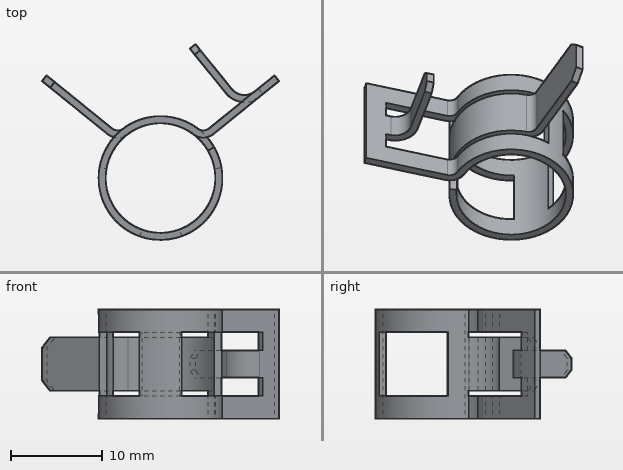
import cadquery as cq
import math


thickness = 0.8
band_width = 12.0
slot_width = 7.0
tongue_width = 5.9
hook_width = 3.0

inner_radius = 6.0
outer_radius = inner_radius + thickness
bend_start = 53.0
band_end = 390.0
slot_end = 150.0
side_windows = [(170.0, 250.0), (290.0, 370.0)]

arm_angle = 39.0
arm_bend_radius = 1.0
arm_tip_x = 13.0
slot_tip_x = 11.23
tongue_chamfer = 1.16

hook_bend_radius = 1.8
hook_bend_angle = 90.0
hook_root_length = 0.5
hook_tip_y = 14.69
hook_chamfer = 0.85


def polar(center, radius, angle):
    """Point at a radius and an angle in degrees around a center."""
    turn = math.radians(angle)
    return (center[0] + radius * math.cos(turn), center[1] + radius * math.sin(turn))


def arc_to(sketch, center, radius, start, end):
    """Extend a sketch along an arc around center, from a start to an end angle."""
    middle = (start + end) / 2
    return sketch.threePointArc(polar(center, radius, middle), polar(center, radius, end))


def extrude_centered(sketch, width):
    """Close an outline and give it a width centered on Z = 0."""
    return sketch.close().extrude(width / 2, both=True)


origin = (0.0, 0.0)
arm_bend_center = polar(origin, outer_radius + arm_bend_radius, bend_start)
arm_bend_outer = arm_bend_radius + thickness
arm_normal = arm_angle - 90.0
arm_lower_start = polar(arm_bend_center, arm_bend_outer, arm_normal)


def arm_length_to(x):
    """Straight arm length at which the lower arm face reaches x."""
    return (x - arm_lower_start[0]) / math.cos(math.radians(arm_angle))


def bent_strip(ring_end, arm_length, width):
    """Straight arm, reverse bend and ring stretch as one bent strip."""
    bend_meets_ring = bend_start - 180.0
    upper_start = polar(arm_bend_center, arm_bend_radius, arm_normal)
    sketch = cq.Workplane("XY").moveTo(*polar(origin, outer_radius, ring_end))
    sketch = arc_to(sketch, origin, outer_radius, ring_end, bend_start)
    sketch = arc_to(sketch, arm_bend_center, arm_bend_radius, bend_meets_ring, arm_normal)
    sketch = sketch.lineTo(*polar(upper_start, arm_length, arm_angle))
    sketch = sketch.lineTo(*polar(arm_lower_start, arm_length, arm_angle))
    sketch = sketch.lineTo(*arm_lower_start)
    sketch = arc_to(sketch, arm_bend_center, arm_bend_outer, arm_normal, bend_meets_ring)
    sketch = arc_to(sketch, origin, inner_radius, bend_start, ring_end)
    return extrude_centered(sketch, width)


def ring_window(start, end):
    """Cutter for a window in the ring with radial end faces."""
    sketch = cq.Workplane("XY").moveTo(*polar(origin, inner_radius, start))
    sketch = sketch.lineTo(*polar(origin, outer_radius, start))
    sketch = arc_to(sketch, origin, outer_radius, start, end)
    sketch = sketch.lineTo(*polar(origin, inner_radius, end))
    sketch = arc_to(sketch, origin, inner_radius, end, start)
    return extrude_centered(sketch, slot_width)


def tip_corners(tip, direction, size, width):
    """Cutters for the two 45 degree corners at the free end of a leaf."""
    plane = cq.Plane(
        origin=(tip[0], tip[1], 0),
        xDir=(math.cos(math.radians(direction)), math.sin(math.radians(direction)), 0),
        normal=(math.sin(math.radians(direction)), -math.cos(math.radians(direction)), 0),
    )
    edge = width / 2
    corners = cq.Workplane(plane)
    for side in (-1, 1):
        corners = (
            corners.moveTo(0, side * edge)
            .lineTo(-size, side * edge)
            .lineTo(0, side * (edge - size))
            .close()
        )
    return corners.extrude(2 * thickness, both=True)


def make_band():
    """Full-width strip with the long slot and the two ring windows."""
    band = bent_strip(band_end, arm_length_to(arm_tip_x), band_width)
    band = band.cut(bent_strip(slot_end, arm_length_to(slot_tip_x), slot_width))
    for start, end in side_windows:
        band = band.cut(ring_window(start, end))
    return band


def make_tongue():
    """Narrow strip end that runs through the slot to the opposite arm."""
    length = arm_length_to(arm_tip_x)
    tip = polar(arm_lower_start, length, arm_angle)
    tongue = bent_strip(slot_end, length, tongue_width)
    tongue = tongue.cut(tip_corners(tip, arm_angle, tongue_chamfer, tongue_width))
    return tongue.mirror("YZ")


def make_hook():
    """Leaf from the outer end of the slot, bent back over the ring."""
    bend_outer = hook_bend_radius + thickness
    hook_normal = arm_normal - hook_bend_angle
    direction = hook_normal - 90.0
    root_lower = polar(arm_lower_start, arm_length_to(slot_tip_x), arm_angle)
    root_upper = polar(root_lower, thickness, arm_normal + 180.0)
    bend_lower = polar(root_lower, -hook_root_length, arm_angle)
    center = polar(bend_lower, bend_outer, arm_normal + 180.0)
    leaf_upper = polar(center, hook_bend_radius, hook_normal)
    leaf_lower = polar(center, bend_outer, hook_normal)
    leaf_length = (hook_tip_y - leaf_upper[1]) / math.sin(math.radians(direction))
    tip = polar(leaf_lower, leaf_length, direction)

    sketch = cq.Workplane("XY").moveTo(*root_lower).lineTo(*bend_lower)
    sketch = arc_to(sketch, center, bend_outer, arm_normal, hook_normal)
    sketch = sketch.lineTo(*tip)
    sketch = sketch.lineTo(*polar(leaf_upper, leaf_length, direction))
    sketch = sketch.lineTo(*leaf_upper)
    sketch = arc_to(sketch, center, hook_bend_radius, hook_normal, arm_normal)
    sketch = sketch.lineTo(*root_upper)
    hook = extrude_centered(sketch, hook_width)
    return hook.cut(tip_corners(tip, direction, hook_chamfer, hook_width))


result = make_band().union(make_tongue()).union(make_hook())